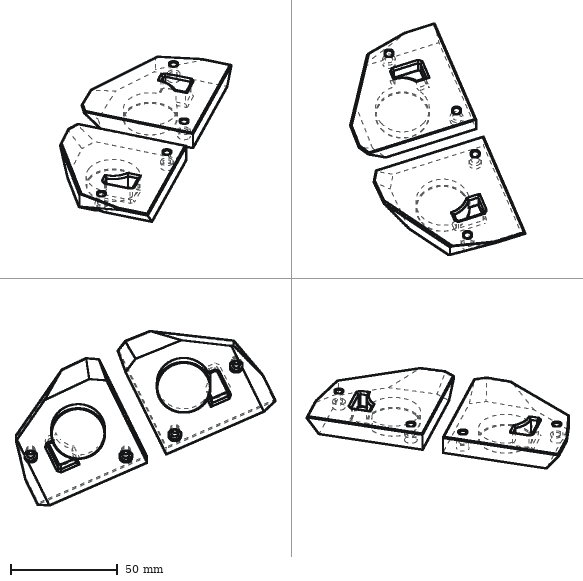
import cadquery as cq
import math

width = 56.6
half_width = width / 2
inner_y = 4.9
outer_y = 61.3
thickness = 8.7

right_inner = (half_width, inner_y)
inner_corner = (-25.4, inner_y)
left_inner = (-half_width, 10.0)
left_outer = (-28.0, 22.7)
diagonal_end = (-7.2, 56.0)
outer_corner = (14.6, outer_y)
right_outer = (half_width, outer_y)

right_bevel = 0.5
inner_bevel = 0.4
outer_corner_bevel = 0.2
diagonal_bevel = 0.9
undercut_inset = 0.5
undercut_drop = 1.0
outer_inset = 0.5
outer_drop = 0.7

side_setback = 7.5
outer_setback = 6.0

boss_radius = 12.6
boss_height = 5.9
boss_chamfer = 0.4
boss_center = (-0.2, 27.2)
boss_root = 2.5

screw_points = [(21.3, 12.6), (2.6, 53.0)]
screw_radius = 1.7
screw_chamfer = 0.43
head_radius = 3.0
head_depth = 3.0

window_left = 0.7
window_right = 14.6
window_inner_y = 34.9
window_outer_y = 43.8
window_corner = 0.9
window_chamfer = 1.1


def side_trim(start, end, inset, drop, setback):
    """Waste outside the side start-end: above it a bevel, below it an undercut.

    Walking from start to end, the plate lies on the right.
    """
    length = math.dist(start, end)
    along = cq.Vector(end[0] - start[0], end[1] - start[1], 0).normalized()
    outward = cq.Vector(-along.y, along.x, 0)
    overrun = width
    origin = cq.Vector(*start, thickness) - along * overrun
    section = cq.Plane(origin=origin, xDir=outward, normal=outward.cross(cq.Vector(0, 0, 1)))
    clear = thickness
    profile = [
        (-inset, 0),
        (0, -drop),
        (-setback, -thickness),
        (clear, -thickness),
        (clear, 0),
    ]
    return cq.Workplane(section).polyline(profile).close().extrude(length + 2 * overrun)


def plate_blank():
    outline = [
        right_inner,
        inner_corner,
        left_inner,
        left_outer,
        diagonal_end,
        outer_corner,
        right_outer,
    ]
    trims = [
        side_trim(right_outer, right_inner, right_bevel, right_bevel, 0),
        side_trim(right_inner, inner_corner, inner_bevel, inner_bevel, 0),
        side_trim(inner_corner, left_inner, undercut_inset, undercut_drop, side_setback),
        side_trim(left_inner, left_outer, undercut_inset, undercut_drop, side_setback),
        side_trim(left_outer, diagonal_end, diagonal_bevel, diagonal_bevel, 0),
        side_trim(diagonal_end, outer_corner, outer_corner_bevel, outer_corner_bevel, 0),
        side_trim(outer_corner, right_outer, outer_inset, outer_drop, outer_setback),
    ]
    blank = cq.Workplane("XY").polyline(outline).close().extrude(thickness)
    for trim in trims:
        blank = blank.cut(trim)
    return blank


def boss():
    return (
        cq.Workplane("XY", origin=(*boss_center, -boss_height))
        .circle(boss_radius)
        .extrude(boss_height + boss_root)
        .faces("<Z")
        .chamfer(boss_chamfer)
    )


def window():
    """Rectangular opening with its two outer corners cut off; its inner side partly follows the boss."""
    opening = (
        cq.Workplane("XY")
        .moveTo(window_left, window_inner_y)
        .lineTo(window_right, window_inner_y)
        .lineTo(window_right, window_outer_y - window_corner)
        .lineTo(window_right - window_corner, window_outer_y)
        .lineTo(window_left + window_corner, window_outer_y)
        .lineTo(window_left, window_outer_y - window_corner)
        .close()
        .extrude(thickness)
    )
    boss_wall = cq.Workplane("XY").center(*boss_center).circle(boss_radius).extrude(thickness)
    return opening.cut(boss_wall)


def window_rim_edges():
    """Selects the edges of the window on both faces of the plate."""
    margin = 1.2
    return cq.selectors.BoxSelector(
        (window_left - margin, window_inner_y - margin, -margin),
        (window_right + margin, window_outer_y + margin, thickness + margin),
    )


def screw_hole(point):
    shank = cq.Workplane("XY").center(*point).circle(screw_radius).extrude(thickness)
    head = cq.Workplane("XY").center(*point).circle(head_radius).extrude(head_depth)
    mouth = cq.Solid.makeCone(
        screw_radius,
        screw_radius + screw_chamfer,
        screw_chamfer,
        pnt=cq.Vector(*point, thickness - screw_chamfer),
    )
    return shank.union(head).union(cq.Workplane(mouth))


def make_plate():
    plate = plate_blank().cut(window())
    plate = plate.faces("<Z or >Z").edges(window_rim_edges()).chamfer(window_chamfer)
    plate = plate.union(boss())
    for point in screw_points:
        plate = plate.cut(screw_hole(point))
    return plate


back_plate = make_plate()
front_plate = back_plate.mirror("XZ")

result = cq.Compound.makeCompound([back_plate.val(), front_plate.val()])